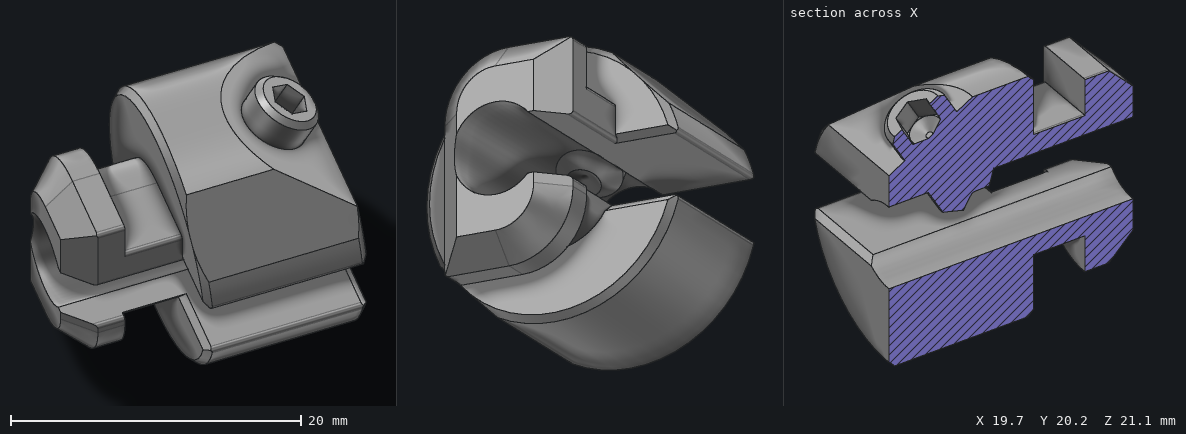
import cadquery as cq
import math

BODY_RADIUS = 10.0
BODY_LENGTH = 12.0
BODY_CHAMFER = 0.49
SIDE_FLAT_DISTANCE = 9.5

BORE_RADIUS = 3.38
SLOT_WIDTH = 4.48
CORNER_RADIUS = 0.3

KEY_HALF_WIDTH = 5.01
NECK_LENGTH = 4.2
HEAD_LENGTH = 4.0
HEAD_HALF_HEIGHT = 8.0
HEAD_CHAMFER = HEAD_LENGTH / 2
NECK_HALF_HEIGHT = KEY_HALF_WIDTH
LARGE_CORNER_RADIUS = 5.0

SLOPE_ANGLE = 30.0
SLOPE_BACK_HEIGHT = 6.0
SCREW_OFFSET_ALONG_SLOPE = 4.0
SCREW_RADIUS = 2.5
SCREW_LENGTH = 10.0
SCREW_PROTRUSION = 2.43
SCREW_TOP_CHAMFER = 0.42
SCREW_TIP_RADIUS = 1.25
SCREW_TIP_CHAMFER = SCREW_RADIUS - SCREW_TIP_RADIUS
TIP_CUP_DEPTH = 0.72
SOCKET_ACROSS_FLATS = 2.5
SOCKET_DEPTH = 1.86
SOCKET_POINT_DEPTH = 0.72
SOCKET_TURN = -15.0

slope = math.radians(SLOPE_ANGLE)
slope_plane = cq.Plane(
    origin=(0, BODY_LENGTH, SLOPE_BACK_HEIGHT),
    xDir=(1, 0, 0),
    normal=(0, math.sin(slope), math.cos(slope)),
)


def front_sketch(y):
    """Workplane facing -Y at depth y: local x is X and local y is Z."""
    return cq.Workplane("XZ", origin=(0, y, 0))


def make_slot():
    """Slot from the bore axis out through the +X side, longer than the part in Y."""
    reach = 2 * BODY_RADIUS
    return front_sketch(BODY_LENGTH).center(reach / 2, 0).rect(reach, SLOT_WIDTH).extrude(2 * BODY_LENGTH)


def make_body():
    slotted = front_sketch(BODY_LENGTH).circle(BODY_RADIUS).extrude(BODY_LENGTH).cut(make_slot())
    chamfered = slotted.faces("<Y or >Y").chamfer(BODY_CHAMFER)
    body = chamfered.intersect(slotted.edges("|Y and >X").fillet(CORNER_RADIUS))
    between_flats = (
        front_sketch(BODY_LENGTH)
        .transformed(rotate=(0, 0, 45))
        .rect(2 * SIDE_FLAT_DISTANCE, 4 * BODY_RADIUS)
        .extrude(BODY_LENGTH)
    )
    above_slope = cq.Workplane(slope_plane).rect(4 * BODY_RADIUS, 4 * BODY_RADIUS).extrude(BODY_RADIUS)
    return body.intersect(between_flats).cut(above_slope)


def key_block(back_y, length, half_height):
    """Block with large rounds at its upper-left and lower-right corners."""
    block = front_sketch(back_y).rect(2 * KEY_HALF_WIDTH, 2 * half_height).extrude(length)
    return block.edges("(|Y and <X and >Z) or (|Y and >X and <Z)").fillet(LARGE_CORNER_RADIUS)


def round_sharp_corners(block):
    """Slot a key block, then round its two sharp corners and the slot lips on its flat +X side."""
    slotted = block.cut(make_slot())
    return slotted.edges("(|Y and >X) or (|Y and <X and <Z)").fillet(CORNER_RADIUS)


def make_key():
    neck = key_block(BODY_CHAMFER, NECK_LENGTH + BODY_CHAMFER, NECK_HALF_HEIGHT)
    head_block = key_block(-NECK_LENGTH, HEAD_LENGTH, HEAD_HALF_HEIGHT)
    head = head_block.faces("<Y").chamfer(HEAD_CHAMFER).intersect(round_sharp_corners(head_block))
    return round_sharp_corners(neck).union(head)


def make_screw():
    """Set screw square to the slope, with a cupped tip and a hexagon socket."""
    tip = SCREW_PROTRUSION - SCREW_LENGTH
    section = [
        (0, tip + TIP_CUP_DEPTH),
        (SCREW_TIP_RADIUS, tip),
        (SCREW_RADIUS, tip + SCREW_TIP_CHAMFER),
        (SCREW_RADIUS, SCREW_PROTRUSION - SCREW_TOP_CHAMFER),
        (SCREW_RADIUS - SCREW_TOP_CHAMFER, SCREW_PROTRUSION),
        (0, SCREW_PROTRUSION),
    ]
    screw = cq.Workplane("XZ").polyline(section).close().revolve(360, (0, 0), (0, 1))
    socket_bottom = SCREW_PROTRUSION - SOCKET_DEPTH
    corner_radius = SOCKET_ACROSS_FLATS / math.sqrt(3)
    socket = (
        cq.Workplane("XY", origin=(0, 0, socket_bottom))
        .transformed(rotate=(0, 0, SOCKET_TURN))
        .polygon(6, 2 * corner_radius)
        .extrude(SOCKET_DEPTH)
    )
    drill_point = (
        cq.Workplane("XZ")
        .moveTo(0, socket_bottom - SOCKET_POINT_DEPTH)
        .lineTo(SOCKET_ACROSS_FLATS / 2, socket_bottom)
        .lineTo(0, socket_bottom)
        .close()
        .revolve(360, (0, 0), (0, 1))
    )
    screw = screw.cut(socket).cut(drill_point)
    seat = slope_plane.toWorldCoords((0, -SCREW_OFFSET_ALONG_SLOPE, 0))
    return screw.rotate((0, 0, 0), (1, 0, 0), -SLOPE_ANGLE).translate(seat)


bore = front_sketch(BODY_LENGTH).circle(BORE_RADIUS).extrude(2 * BODY_LENGTH)
holder = make_body().union(make_key()).cut(bore)
result = holder.union(make_screw())